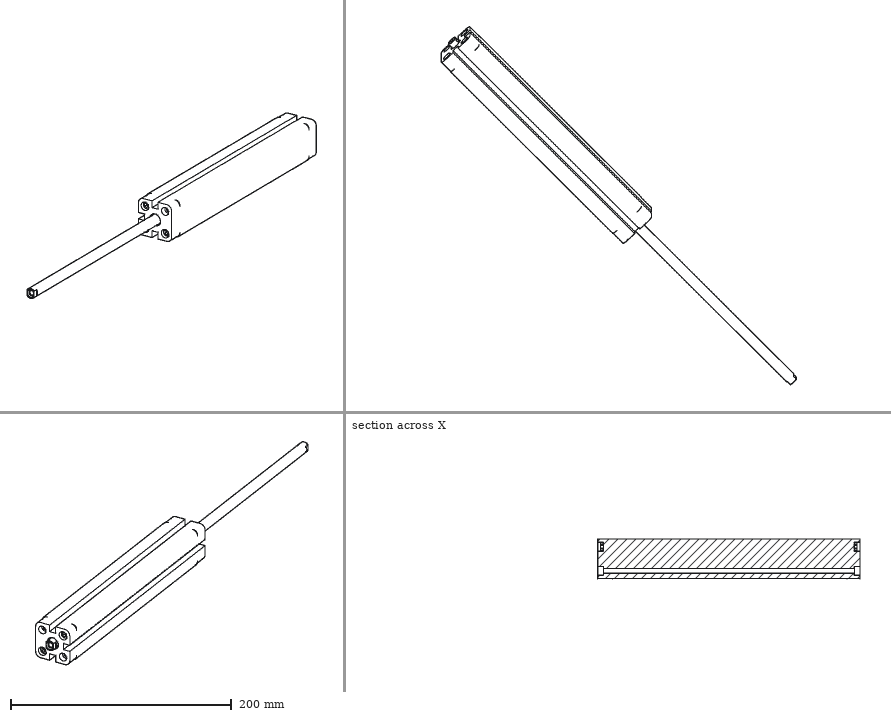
import cadquery as cq
import math

total_length = 447.0
width = 36.0
body_length = 238.0
rear_rod_length = 5.0
front_rod_length = total_length - body_length - rear_rod_length
front_cap_length = 13.5
rear_cap_length = 12.0

cap_corner_radius = 5.5
tube_corner_radius = 4.0
slot_depth = 6.5
slot_width = 6.3

rod_diameter = 10.0
flat_width = 7.5
flat_length = 4.0
bore_diameter = 11.5
bore_depth = 2.2

rod_hole_diameter = 4.1
rod_hole_depth = 13.5
rod_recess_diameter = 5.5
rod_recess_depth = 2.0
rod_countersink_diameter = 7.5
drill_point_angle = 118

hole_offset = 10.95
through_diameter = 4.1
through_counterbore_diameter = 7.5
through_counterbore_depth = 5.5
screw_counterbore_diameter = 8.0
screw_counterbore_depth = 5.5
screw_head_diameter = 6.5
screw_head_recess = 2.5
hex_socket_corner_diameter = 4.5
hex_socket_depth = 2.5
hex_sides = 6
hex_turn = 180 / hex_sides


def cylinder(diameter, length, x=0, z=0):
    """Cylinder along +Y that starts at y = 0."""
    return cq.Workplane("XZ", origin=(x, 0, z)).circle(diameter / 2).extrude(-length)


def at_both_ends(tool, front_y, rear_y):
    """The tool, made at y = 0 pointing to +Y, moved to front_y and mirrored to rear_y."""
    front = tool.translate((0, front_y, 0))
    rear = tool.mirror("XZ").translate((0, rear_y, 0))
    return front, rear


def rounded_bar(corner_radius, y_start, length):
    """Square bar along Y with rounded long edges."""
    bar = cq.Workplane("XZ", origin=(0, y_start, 0)).rect(width, width).extrude(-length)
    return bar.edges("|Y").fillet(corner_radius)


def make_body():
    """Tube between two end caps, with slots on the top, bottom and -X sides."""
    tube_length = body_length - front_cap_length - rear_cap_length
    rear_cap_start = body_length - rear_cap_length
    body = rounded_bar(cap_corner_radius, 0, front_cap_length)
    body = body.union(rounded_bar(tube_corner_radius, front_cap_length, tube_length))
    body = body.union(rounded_bar(cap_corner_radius, rear_cap_start, rear_cap_length))
    slot = cq.Workplane("XY").box(2 * slot_depth, body_length, slot_width)
    slot = slot.translate((-width / 2, body_length / 2, 0))
    for angle in (-90, 0, 90):
        body = body.cut(slot.rotate((0, 0, 0), (0, 1, 0), angle))
    return body


def make_screw_pocket(x, z):
    """Space around a recessed screw head and in its hex socket."""
    head_height = screw_counterbore_depth - screw_head_recess
    head = cylinder(screw_head_diameter, head_height).translate((x, screw_head_recess, z))
    socket = cq.Workplane("XZ").polygon(hex_sides, hex_socket_corner_diameter).extrude(-hex_socket_depth)
    socket = socket.rotate((0, 0, 0), (0, 1, 0), hex_turn).translate((x, screw_head_recess, z))
    return cylinder(screw_counterbore_diameter, screw_counterbore_depth, x, z).cut(head.cut(socket))


def cut_corner_features(body):
    """Counterbored through holes on one diagonal, screw pockets on the other, at both ends."""
    for x in (-hole_offset, hole_offset):
        body = body.cut(cylinder(through_diameter, body_length, x, x))
        counterbore = cylinder(through_counterbore_diameter, through_counterbore_depth, x, x)
        for tool in (counterbore, make_screw_pocket(x, -x)):
            for placed in at_both_ends(tool, 0, body_length):
                body = body.cut(placed)
    return body


def make_rod_hole():
    """Stepped blind hole along the rod axis, with a countersunk rim and a conical drill point."""
    hole_radius = rod_hole_diameter / 2
    recess_radius = rod_recess_diameter / 2
    rim_radius = rod_countersink_diameter / 2
    point_length = hole_radius / math.tan(math.radians(drill_point_angle / 2))
    profile = cq.Workplane("XY").polyline([
        (0, 0),
        (rim_radius, 0),
        (recess_radius, rim_radius - recess_radius),
        (recess_radius, rod_recess_depth),
        (hole_radius, rod_recess_depth),
        (hole_radius, rod_hole_depth),
        (0, rod_hole_depth + point_length),
    ])
    return profile.close().revolve(360, (0, 0, 0), (0, 1, 0))


def make_rod_end_cut():
    """Everything removed at a rod end: a pair of wrench flats and the blind hole."""
    cut = make_rod_hole()
    for side in (-1, 1):
        flat = cq.Workplane("XY").box(rod_diameter, flat_length, rod_diameter)
        cut = cut.union(flat.translate((side * (flat_width + rod_diameter) / 2, flat_length / 2, 0)))
    return cut


result = cut_corner_features(make_body())
for recess in at_both_ends(cylinder(bore_diameter, bore_depth), 0, body_length):
    result = result.cut(recess)
result = result.union(cylinder(rod_diameter, total_length).translate((0, -front_rod_length, 0)))
for end_cut in at_both_ends(make_rod_end_cut(), -front_rod_length, body_length + rear_rod_length):
    result = result.cut(end_cut)